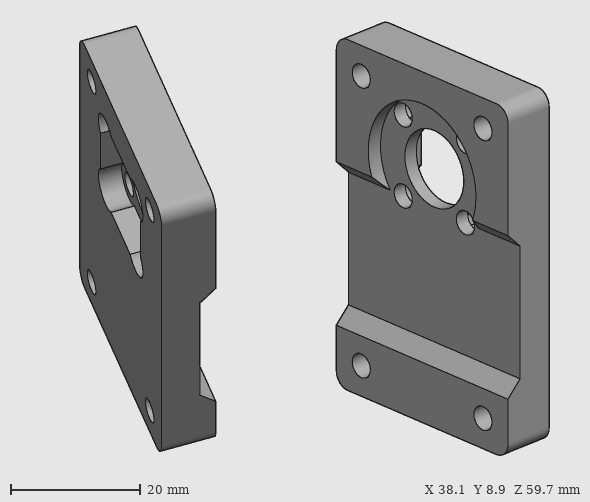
import cadquery as cq

width = 38.1
thickness = 8.9
height = 59.7
corner_radius = 2.55

mount_hole_diameter = 4.0
mount_spacing_x = 27.0
mount_spacing_z = 49.3

seat_center_z = 12.5
seat_depth = 3.8
seat_width = 18.6
shaft_hole_diameter = 13.0
screw_hole_diameter = 4.0
screw_spacing = 13.8
lobe_radius = 3.45

channel_center_z = -5.7
channel_depth = 2.6
channel_floor_height = 22.55
channel_mouth_height = channel_floor_height + 2 * channel_depth

relief_diameter = 23.9

front_y = -thickness / 2
back_y = thickness / 2


def cylinders_along_y(positions, diameter, length):
    """Round cutters at (x, z) positions, running from the front face toward +Y."""
    plane = cq.Workplane("XZ", origin=(0, front_y, 0))
    return plane.pushPoints(positions).circle(diameter / 2).extrude(-length)


def rectangle_corners(spacing_x, spacing_z, center_z=0):
    """The four (x, z) corners of a rectangle centred on the plate's middle line."""
    return [
        (side_x * spacing_x / 2, center_z + side_z * spacing_z / 2)
        for side_x in (-1, 1)
        for side_z in (-1, 1)
    ]


def plate():
    return cq.Workplane("XY").box(width, thickness, height).edges("|Y").fillet(corner_radius)


def seat_recess(screw_positions):
    square = (
        cq.Workplane("XZ", origin=(0, front_y, seat_center_z))
        .rect(seat_width, seat_width)
        .extrude(-seat_depth)
    )
    lobes = cylinders_along_y(screw_positions, 2 * lobe_radius, seat_depth)
    return square.union(lobes)


def back_channel():
    floor_y = back_y - channel_depth
    return (
        cq.Workplane("YZ", origin=(-width / 2, 0, channel_center_z))
        .polyline([
            (back_y, -channel_mouth_height / 2),
            (floor_y, -channel_floor_height / 2),
            (floor_y, channel_floor_height / 2),
            (back_y, channel_mouth_height / 2),
        ])
        .close()
        .extrude(width)
    )


def back_relief():
    plane = cq.Workplane("XZ", origin=(0, back_y, seat_center_z))
    return plane.circle(relief_diameter / 2).extrude(channel_depth)


mount_positions = rectangle_corners(mount_spacing_x, mount_spacing_z)
screw_positions = rectangle_corners(screw_spacing, screw_spacing, seat_center_z)

result = (
    plate()
    .cut(cylinders_along_y(mount_positions, mount_hole_diameter, thickness))
    .cut(seat_recess(screw_positions))
    .cut(cylinders_along_y(screw_positions, screw_hole_diameter, thickness))
    .cut(cylinders_along_y([(0, seat_center_z)], shaft_hole_diameter, thickness))
    .cut(back_channel())
    .cut(back_relief())
)